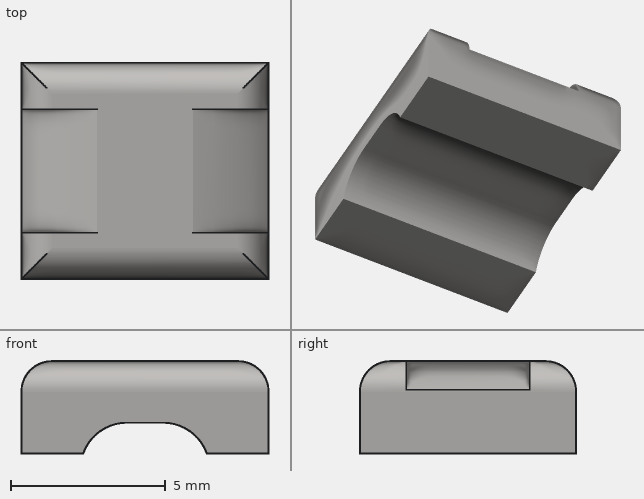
import cadquery as cq
import math

length = 8.0
width = 7.0
height = 3.0
edge_radius = 1.0

channel_width = 4.0
channel_depth = 1.0
channel_radius = 1.5

ramp_width = 4.0
ramp_run = 2.45
ramp_drop = 0.94
ramp_radius = 8.0


def make_block():
    """Box with its four top edges rounded."""
    block = cq.Workplane("XY").box(length, width, height, centered=(True, True, False))
    return block.faces(">Z").edges().fillet(edge_radius)


def make_channel():
    """Flat-roofed channel whose side arcs run tangent into the roof."""
    half_mouth = channel_width / 2
    arc_run = math.sqrt(2 * channel_radius * channel_depth - channel_depth**2)
    half_roof = half_mouth - arc_run
    return (
        cq.Workplane("XZ")
        .moveTo(-half_mouth, 0)
        .radiusArc((-half_roof, channel_depth), channel_radius)
        .lineTo(half_roof, channel_depth)
        .radiusArc((half_mouth, 0), channel_radius)
        .close()
        .extrude(width / 2, both=True)
    )


def make_ramp():
    """Cutter for the gently curved ramp at the -X end."""
    end = -length / 2
    return (
        cq.Workplane("XZ")
        .moveTo(end, height - ramp_drop)
        .radiusArc((end + ramp_run, height), ramp_radius)
        .lineTo(end, height)
        .close()
        .extrude(ramp_width / 2, both=True)
    )


ramp = make_ramp()
result = make_block().cut(make_channel()).cut(ramp).cut(ramp.mirror("YZ"))